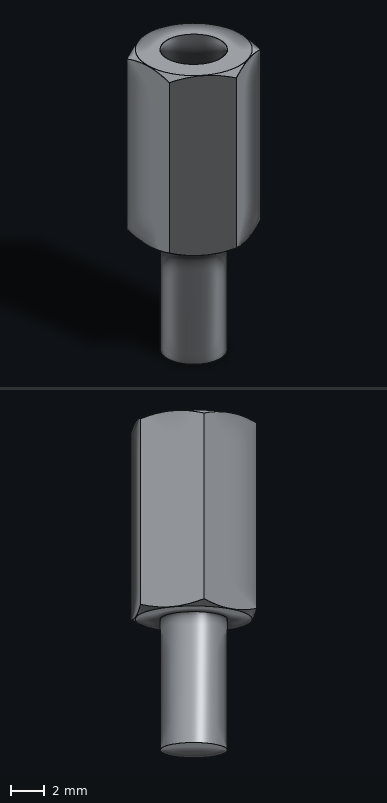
import cadquery as cq
import math

total_length = 20.0
across_flats = 7.0
body_length = 12.0
stud_diameter = 4.0
stud_length = total_length - body_length

socket_diameter = stud_diameter
socket_depth = stud_length

bevel_angle = 30.0
bevel_circle_diameter = 6.95

half_side_angle = 30.0
across_corners = across_flats / math.cos(math.radians(half_side_angle))
corner_radius = across_corners / 2
bevel_circle_radius = bevel_circle_diameter / 2
bevel_height = (corner_radius - bevel_circle_radius) * math.tan(math.radians(bevel_angle))


def make_bevel_envelope():
    """Round bar with coned ends; its overlap with the hexagon bevels the corners."""
    return (
        cq.Workplane("XZ")
        .moveTo(0, 0)
        .lineTo(bevel_circle_radius, 0)
        .lineTo(corner_radius, bevel_height)
        .lineTo(corner_radius, body_length - bevel_height)
        .lineTo(bevel_circle_radius, body_length)
        .lineTo(0, body_length)
        .close()
        .revolve(360, (0, 0, 0), (0, 1, 0))
    )


def make_hex_body():
    """Hexagonal spacer with corners on the Y axis and a blind socket in its top."""
    hexagon = (
        cq.Workplane("XY")
        .polygon(6, across_corners)
        .extrude(body_length)
        .rotate((0, 0, 0), (0, 0, 1), half_side_angle)
    )
    socket = (
        cq.Workplane("XY")
        .workplane(offset=body_length - socket_depth)
        .circle(socket_diameter / 2)
        .extrude(socket_depth)
    )
    return hexagon.intersect(make_bevel_envelope()).cut(socket)


def make_stud():
    """Round stud standing against the underside of the hexagonal body."""
    return cq.Workplane("XY").circle(stud_diameter / 2).extrude(-stud_length)


hex_body = make_hex_body()
stud = make_stud()

result = cq.Compound.makeCompound([hex_body.solids().val(), stud.val()])